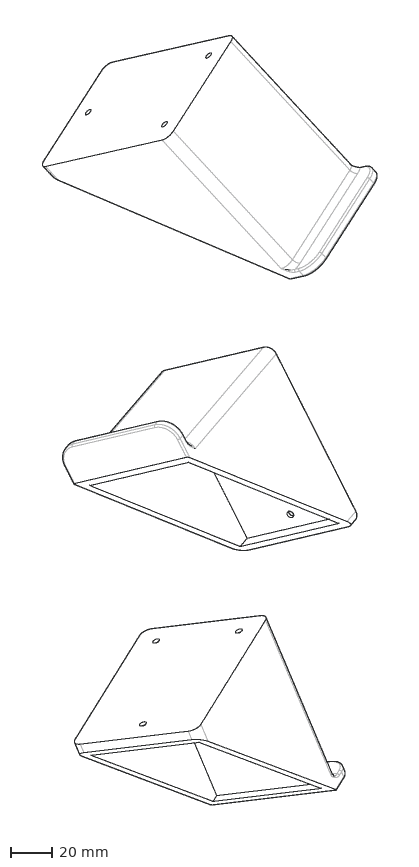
import cadquery as cq
import math

width = 70.0
plate_length = 100.0
body_depth = 100.0
lip_thickness = 5.0
lip_height = 15.0
lip_corner_radius = 10.0
lip_edge_radius = 1.0
toe_length = 5.0
body_corner_radius = 5.0
lip_root_radius = 3.0
plate_thickness = 2.0
wall = 5.0
hole_diameter = 3.5
hole_end_distance = 12.0
upper_hole_spacing = 46.0
tilt = 45.0

half_width = width / 2
lip_inner_x = body_depth - lip_thickness
lip_top = plate_length + lip_height
corner_y = half_width - body_corner_radius
corner_z = plate_length - body_corner_radius
margin = 10.0
root_overlap = 1.0


def block(x_min, x_max, z_min, z_max, y_size):
    """Box centred on Y between the given X and Z limits."""
    return (
        cq.Workplane("XY")
        .box(x_max - x_min, y_size, z_max - z_min, centered=(False, True, False))
        .translate((x_min, 0, z_min))
    )


def below_base():
    """Everything below the sloping base plane z = x - toe_length."""
    near_x = toe_length - margin
    far_x = body_depth + margin
    return (
        cq.Workplane("XZ")
        .moveTo(near_x, near_x - toe_length)
        .lineTo(far_x, far_x - toe_length)
        .lineTo(far_x, near_x - toe_length)
        .close()
        .extrude(half_width + margin, both=True)
    )


def root_profile():
    """Concave corner section between the resting slope and the lip, at y = corner_y."""
    bend = lip_root_radius * (1 - math.sqrt(0.5))
    return (
        cq.Workplane("XZ", origin=(0, corner_y, 0))
        .moveTo(lip_inner_x, plate_length - root_overlap)
        .lineTo(lip_inner_x - lip_root_radius, plate_length - root_overlap)
        .lineTo(lip_inner_x - lip_root_radius, plate_length)
        .threePointArc(
            (lip_inner_x - bend, plate_length + bend),
            (lip_inner_x, plate_length + lip_root_radius),
        )
        .close()
    )


def lip_root():
    """Concave fillet along the slope and round its two rounded edges, flush with the sides."""
    straight = root_profile().extrude(2 * corner_y)
    bend = root_profile().revolve(90, (0, corner_z, 0), (-1, corner_z, 0))
    root = straight.union(bend).union(bend.mirror("XZ"))
    return root.intersect(block(0, body_depth, 0, lip_top, width))


def outer_body():
    """Rounded block with the lip standing on its far end and rounded lip rims."""
    body = block(0, body_depth, 0, plate_length, width).edges("|X").fillet(body_corner_radius)
    lip = block(lip_inner_x, body_depth, 0, lip_top, width)
    lip = lip.edges("|X and >Z").fillet(lip_corner_radius)
    body = body.union(lip).union(lip_root()).cut(below_base())
    outer_rim = body.faces(">X").edges("not <Z").vals()
    inner_rim = body.faces(">Z").edges("|Y and <X").vals()
    return body.newObject(outer_rim + inner_rim).fillet(lip_edge_radius)


def cavity():
    """Hollow behind the mounting plate, open through the flat base."""
    return block(plate_thickness, body_depth - wall, wall, plate_length - wall, width - 2 * wall)


def screw_holes():
    """Holes through the mounting plate: one low on the centre line, two near the top."""
    lower = (0, hole_end_distance)
    upper_z = plate_length - hole_end_distance
    upper = [(side * upper_hole_spacing / 2, upper_z) for side in (-1, 1)]
    return (
        cq.Workplane("YZ")
        .pushPoints([lower] + upper)
        .circle(hole_diameter / 2)
        .extrude(plate_thickness)
    )


def tilted(upright):
    """Lean the part back onto its base, with its lower plate corner at x = 0."""
    toe_height = toe_length * math.sin(math.radians(tilt))
    return upright.rotate((0, 0, 0), (0, 1, 0), tilt).translate((0, 0, toe_height))


result = tilted(outer_body().cut(cavity()).cut(screw_holes()))